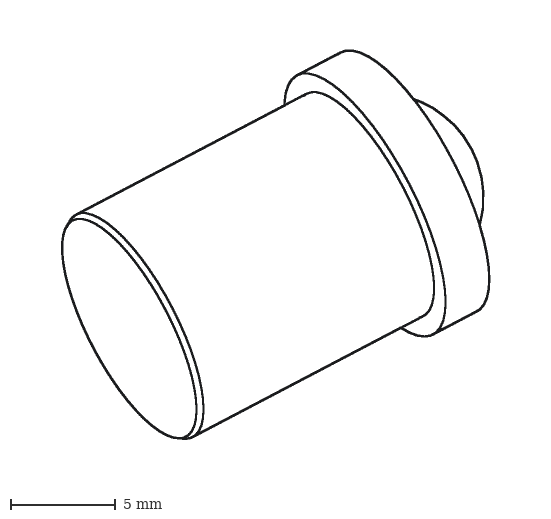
import cadquery as cq
import math

total_length = 19.3
body_diameter = 12.0
flange_diameter = 14.0
flange_thickness = 2.5
ball_diameter = 9.98
ball_protrusion = 3.3
chamfer_length = 0.29
chamfer_angle = 30.0

body_radius = body_diameter / 2
ball_radius = ball_diameter / 2
body_length = total_length - ball_protrusion
chamfer_depth = chamfer_length * math.tan(math.radians(chamfer_angle))


def make_body():
    """Body and flange, revolved about the Y axis from a half profile."""
    profile = (
        cq.Workplane("XY")
        .moveTo(0, -body_length)
        .lineTo(body_radius - chamfer_depth, -body_length)
        .lineTo(body_radius, -body_length + chamfer_length)
        .lineTo(body_radius, -flange_thickness)
        .lineTo(flange_diameter / 2, -flange_thickness)
        .lineTo(flange_diameter / 2, 0)
        .lineTo(0, 0)
        .close()
    )
    return profile.revolve(360, (0, 0, 0), (0, 1, 0))


def make_ball():
    """Ball whose centre sits below the flange face."""
    ball_center_y = ball_protrusion - ball_radius
    return cq.Workplane("XY").sphere(ball_radius).translate((0, ball_center_y, 0))


result = make_body().union(make_ball())